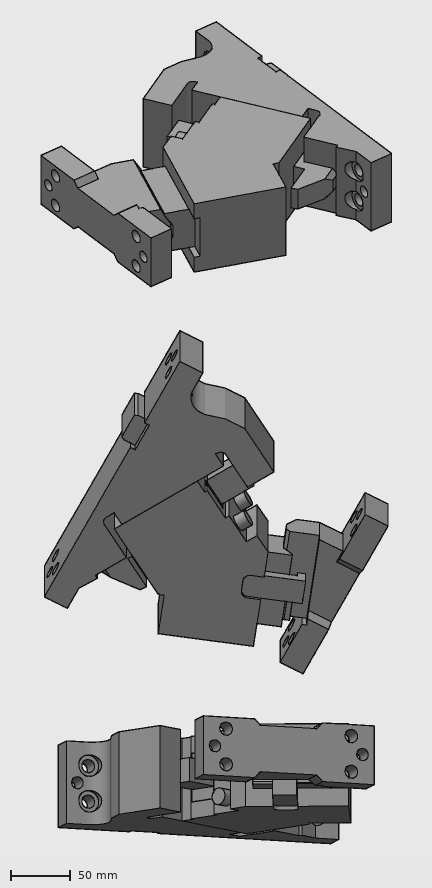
import cadquery as cq
import math


SLIDE_ANGLE = 30
CAM_ANGLE = -20
SLIDE_ORIGIN = (-32.2, 161.5)
CAM_ORIGIN = (-21.8, 62.0)


def frame_point(origin, angle, along, across):
    """XY position of a point given in a frame turned by an angle about Z."""
    c = math.cos(math.radians(angle))
    s = math.sin(math.radians(angle))
    return (origin[0] + along * c - across * s, origin[1] + along * s + across * c)


def slide_pt(along, across):
    return frame_point(SLIDE_ORIGIN, SLIDE_ANGLE, along, across)


def cam_pt(along, across):
    return frame_point(CAM_ORIGIN, CAM_ANGLE, along, across)


def prism(points, z_low, z_high):
    """Closed XY outline extruded between two heights."""
    return cq.Workplane("XY").workplane(offset=z_low).polyline(points).close().extrude(z_high - z_low)


def frame_box(point, along, across, z_range):
    """Box aligned with a turned frame; each range is (low, high)."""
    corners = [
        point(along[0], across[0]),
        point(along[1], across[0]),
        point(along[1], across[1]),
        point(along[0], across[1]),
    ]
    return prism(corners, *z_range)


def y_holes(positions, diameter, y_start, length):
    """Cylinders along +Y from y_start, at (X, Z) positions."""
    plane = cq.Plane(origin=(0, y_start, 0), xDir=(1, 0, 0), normal=(0, -1, 0))
    return cq.Workplane(plane).pushPoints(positions).circle(diameter / 2).extrude(-length)


TOTAL_Y = 234.0
HOLDER_LENGTH = 240.0
HALF_LENGTH = HOLDER_LENGTH / 2
HALF_DEPTH = 35.0
FULL_Z = (-HALF_DEPTH, HALF_DEPTH)
FLANGE_BACK = 225.0
FLANGE_THICKNESS = 21.8
FLANGE_FRONT = FLANGE_BACK - FLANGE_THICKNESS
NECK_RADIUS = 15.0
NECK_X = -87.8
NECK_LOW_Y = 184.0
SHOULDER_X = -92.5
SHOULDER_TOP_Y = 167.5
LEG_OUTER = -58.5
LEG_INNER = -32.6
LEG_END = -27.0
LEFT_SLOT_WALL = -25.7
LEFT_SLOT_END = 12.5
RIGHT_SLOT_LEFT = 74.2
RIGHT_SLOT_WALL = 86.6
RIGHT_SLOT_END = 12.5
SLOT_RADIUS = 5.0
LIP_FACE = -27.0
LIP_STEP_ALONG = 117.0
LIP_STEP_FACE = -30.2
LIP_END_X = 99.5

SCREW_DIAMETER = 11.0
SCREW_Z = 15.0
DOWEL_DIAMETER = 10.0
HOLDER_SCREW_X = 100.0
HOLDER_DOWEL_X = 110.5
COUNTERBORE_DIAMETER = 18.2
COUNTERBORE_DEPTH = 2.5

KEY_LEFT = -57.4
KEY_WIDTH = 25.0
KEY_HALF_Z = 25.0
KEY_SEAT_DEPTH = 4.5
KEY_CHAMFER_X = 1.5
KEY_CHAMFER_Y = 3.0


def holder_body():
    eighth_turn = math.sqrt(0.5)
    slide_slope = math.tan(math.radians(SLIDE_ANGLE))
    leg_face_point = slide_pt(LEG_OUTER, 0)
    leg_corner_y = leg_face_point[1] - (SHOULDER_X - leg_face_point[0]) / slide_slope
    arc_x = NECK_X - NECK_RADIUS
    arc_y = FLANGE_FRONT - NECK_RADIUS
    neck_offset = NECK_RADIUS * eighth_turn
    bulge = SLOT_RADIUS * (1 - eighth_turn)
    outline = (
        cq.Workplane("XY")
        .workplane(offset=-HALF_DEPTH)
        .moveTo(-HALF_LENGTH, FLANGE_BACK)
        .lineTo(-HALF_LENGTH, FLANGE_FRONT)
        .lineTo(arc_x, FLANGE_FRONT)
        .threePointArc((arc_x + neck_offset, arc_y + neck_offset), (NECK_X, arc_y))
        .lineTo(NECK_X, NECK_LOW_Y)
        .lineTo(SHOULDER_X, SHOULDER_TOP_Y)
        .lineTo(SHOULDER_X, leg_corner_y)
        .lineTo(*slide_pt(LEG_OUTER, LEG_END))
        .lineTo(*slide_pt(LEG_INNER, LEG_END))
        .lineTo(*slide_pt(LEG_INNER, LEFT_SLOT_END - SLOT_RADIUS))
        .threePointArc(
            slide_pt(LEG_INNER + bulge, LEFT_SLOT_END - bulge),
            slide_pt(LEG_INNER + SLOT_RADIUS, LEFT_SLOT_END),
        )
        .lineTo(*slide_pt(LEFT_SLOT_WALL, LEFT_SLOT_END))
        .lineTo(*slide_pt(LEFT_SLOT_WALL, 0))
        .lineTo(*slide_pt(RIGHT_SLOT_LEFT, 0))
        .lineTo(*slide_pt(RIGHT_SLOT_LEFT, RIGHT_SLOT_END))
        .lineTo(*slide_pt(RIGHT_SLOT_WALL - SLOT_RADIUS, RIGHT_SLOT_END))
        .threePointArc(
            slide_pt(RIGHT_SLOT_WALL - bulge, RIGHT_SLOT_END - bulge),
            slide_pt(RIGHT_SLOT_WALL, RIGHT_SLOT_END - SLOT_RADIUS),
        )
        .lineTo(*slide_pt(RIGHT_SLOT_WALL, LIP_FACE))
        .lineTo(*slide_pt(LIP_STEP_ALONG, LIP_FACE))
        .lineTo(*slide_pt(LIP_STEP_ALONG, LIP_STEP_FACE))
        .lineTo(LIP_END_X, FLANGE_FRONT)
        .lineTo(HALF_LENGTH, FLANGE_FRONT)
        .lineTo(HALF_LENGTH, FLANGE_BACK)
        .close()
    )
    return outline.extrude(2 * HALF_DEPTH)


def holder_holes():
    screws = [(x, z) for x in (-HOLDER_SCREW_X, HOLDER_SCREW_X) for z in (-SCREW_Z, SCREW_Z)]
    dowels = [(-HOLDER_DOWEL_X, 0), (HOLDER_DOWEL_X, 0)]
    reach = FLANGE_THICKNESS
    start = FLANGE_FRONT - reach
    holes = y_holes(screws, SCREW_DIAMETER, start, 2 * reach)
    holes = holes.union(y_holes(dowels, DOWEL_DIAMETER, start, 2 * reach))
    return holes.union(y_holes(screws, COUNTERBORE_DIAMETER, start, reach + COUNTERBORE_DEPTH))


def key():
    right = KEY_LEFT + KEY_WIDTH
    seat = FLANGE_BACK - KEY_SEAT_DEPTH
    points = [
        (KEY_LEFT, seat),
        (right, seat),
        (right, TOTAL_Y - KEY_CHAMFER_Y),
        (right - KEY_CHAMFER_X, TOTAL_Y),
        (KEY_LEFT + KEY_CHAMFER_X, TOTAL_Y),
        (KEY_LEFT, TOTAL_Y - KEY_CHAMFER_Y),
    ]
    return prism(points, -KEY_HALF_Z, KEY_HALF_Z)


def make_holder():
    key_seat = cq.Workplane("XY").box(KEY_WIDTH, KEY_SEAT_DEPTH, 2 * HALF_DEPTH).translate(
        (KEY_LEFT + KEY_WIDTH / 2, FLANGE_BACK - KEY_SEAT_DEPTH / 2, 0)
    )
    return holder_body().cut(holder_holes()).cut(key_seat).union(key())


BASE_CENTER_X = 7.2
BASE_LENGTH = 150.7
BASE_THICKNESS = 21.8
BASE_HALF_Z = 25.0
WAIST_HALF_Z = 19.7
WAIST_WIDTH = 60.0
DRIVER_DOWEL_X = 65.0
DRIVER_SCREW_X = 55.2
POST_LEFT_X = -28.8
HEAD_LENGTH = 75.4
HEAD_DEPTH = 19.2
RIDGE_HEIGHT = 8.6
RIDGE_TOP_HALF_Z = 5.3
POCKET_Z = -9.8
POCKET_LENGTH = 46.0
LEDGE_THICKNESS = 4.8


def cam_ridge(along_start, along_end):
    """Roof-shaped ridge standing on the cam face."""
    angle = math.radians(CAM_ANGLE)
    plane = cq.Plane(
        origin=(*cam_pt(along_start, 0), 0),
        xDir=(-math.sin(angle), math.cos(angle), 0),
        normal=(math.cos(angle), math.sin(angle), 0),
    )
    profile = [
        (0, -WAIST_HALF_Z),
        (RIDGE_HEIGHT, -RIDGE_TOP_HALF_Z),
        (RIDGE_HEIGHT, RIDGE_TOP_HALF_Z),
        (0, WAIST_HALF_Z),
    ]
    return cq.Workplane(plane).polyline(profile).close().extrude(along_end - along_start)


def driver_base():
    half = BASE_LENGTH / 2
    drop = BASE_HALF_Z - WAIST_HALF_Z
    waist = WAIST_WIDTH / 2
    top_edge = [
        (-half, BASE_HALF_Z),
        (-waist, BASE_HALF_Z),
        (-waist + drop, WAIST_HALF_Z),
        (waist - drop, WAIST_HALF_Z),
        (waist, BASE_HALF_Z),
        (half, BASE_HALF_Z),
    ]
    bottom_edge = [(x, -z) for x, z in reversed(top_edge)]
    plane = cq.Plane(origin=(BASE_CENTER_X, 0, 0), xDir=(1, 0, 0), normal=(0, -1, 0))
    base = cq.Workplane(plane).polyline(top_edge + bottom_edge).close().extrude(-BASE_THICKNESS)
    screws = [
        (BASE_CENTER_X + side * DRIVER_SCREW_X, z) for side in (-1, 1) for z in (-SCREW_Z, SCREW_Z)
    ]
    dowels = [(BASE_CENTER_X + side * DRIVER_DOWEL_X, 0) for side in (-1, 1)]
    base = base.cut(y_holes(screws, SCREW_DIAMETER, 0, BASE_THICKNESS))
    return base.cut(y_holes(dowels, DOWEL_DIAMETER, 0, BASE_THICKNESS))


def driver_post():
    post_right_x = BASE_CENTER_X + WAIST_WIDTH / 2 - (BASE_HALF_Z - WAIST_HALF_Z)
    head_bottom = cam_pt(0, -HEAD_DEPTH)
    post_right_y = head_bottom[1] + (post_right_x - head_bottom[0]) * math.tan(math.radians(CAM_ANGLE))
    points = [
        (POST_LEFT_X, 0),
        head_bottom,
        cam_pt(0, 0),
        cam_pt(HEAD_LENGTH, 0),
        cam_pt(HEAD_LENGTH, -HEAD_DEPTH),
        (post_right_x, post_right_y),
        (post_right_x, 0),
    ]
    return prism(points, -WAIST_HALF_Z, WAIST_HALF_Z).union(cam_ridge(0, HEAD_LENGTH))


def hook_pocket():
    z_range = (-WAIST_HALF_Z, POCKET_Z)
    entry = frame_box(cam_pt, (0, POCKET_LENGTH), (-HEAD_DEPTH, RIDGE_HEIGHT), z_range)
    groove = frame_box(cam_pt, (0, HEAD_LENGTH), (-HEAD_DEPTH, -LEDGE_THICKNESS), z_range)
    return entry.union(groove)


def make_driver():
    head_relief = frame_box(cam_pt, (0, HEAD_LENGTH), (-HEAD_DEPTH, 0), (-BASE_HALF_Z, BASE_HALF_Z))
    return driver_base().cut(head_relief).union(driver_post()).cut(hook_pocket())


BLOCK_RIGHT = 81.5
BLOCK_RIGHT_END = -69.0
CAM_STEP_ALONG = 62.0
CAM_STEP_TOP = 103.0
CAM_LEFT = 10.8
CAM_RIGHT = 96.7
CAM_SEAT = 22.5
SIDE_STEP = -2.5
SIDE_STEP_START = -11.8
STRIP_START = -40.5
STRIP_FACE = -6.0
STRIP_END = -68.0
TOE_FACE = -16.3

SHOE_LEFT = 17.0
SHOE_RIGHT = 82.0
CAM_GAP = 1.2
CHANNEL_DEPTH = 5.3

STOP_TOP = -12.0
STOP_WIDTH = 25.0
STOP_HALF_Z = 10.0
STOP_RECESS_DEPTH = 1.2
STOP_RECESS_HALF_Z = 20.6

BOLT_DIAMETER = 14.2
BOLT_HEIGHT = 10.0
BOLT_ACROSS = -54.5
BOLT_Z = 22.5

HOOK_TOP = -11.8
HOOK_UNDERSIDE = -37.0
HOOK_OUTER = 117.0
HOOK_CHAMFER = 4.5
HOOK_TIP_LEFT = 91.5
HOOK_TIP_END = -66.7
HOOK_NOSE_ALONG = 97.5
HOOK_NOSE_ACROSS = -66.2

PLATE_LEFT = 33.8
PLATE_WIDTH = 20.5
PLATE_TOP = 39.5
PLATE_BOTTOM = -12.5
PLATE_RADIUS = 5.8
PLATE_Z = (-31.7, -21.4)
CLAW_TOP = -5.5
CLAW_Z = -15.0


def block_body():
    points = [
        slide_pt(0, 0),
        slide_pt(0, SIDE_STEP_START),
        slide_pt(SIDE_STEP, SIDE_STEP_START),
        slide_pt(SIDE_STEP, STRIP_START),
        slide_pt(STRIP_FACE, STRIP_START),
        slide_pt(STRIP_FACE, STRIP_END),
        slide_pt(TOE_FACE, STRIP_END),
        cam_pt(CAM_LEFT, CAM_SEAT),
        cam_pt(CAM_RIGHT, CAM_SEAT),
        cam_pt(CAM_RIGHT, CAM_STEP_TOP),
        cam_pt(CAM_STEP_ALONG, CAM_STEP_TOP),
        slide_pt(BLOCK_RIGHT, BLOCK_RIGHT_END),
        slide_pt(BLOCK_RIGHT, 0),
    ]
    return prism(points, *FULL_Z)


def cam_shoe():
    """Shoe with a V groove that rides on the driver's ridge."""
    shoe = frame_box(
        cam_pt, (SHOE_LEFT, SHOE_RIGHT), (CAM_GAP, CAM_SEAT + CHANNEL_DEPTH), (-WAIST_HALF_Z, WAIST_HALF_Z)
    )
    return shoe.cut(cam_ridge(0, CAM_RIGHT))


def shoe_channel():
    return frame_box(
        cam_pt, (SHOE_LEFT, CAM_RIGHT), (CAM_SEAT, CAM_SEAT + CHANNEL_DEPTH), (-WAIST_HALF_Z, WAIST_HALF_Z)
    )


def stop_recess():
    return frame_box(
        slide_pt,
        (SIDE_STEP, SIDE_STEP + STOP_RECESS_DEPTH),
        (STOP_TOP - STOP_WIDTH, STOP_TOP),
        (-STOP_RECESS_HALF_Z, STOP_RECESS_HALF_Z),
    )


def stop_block():
    return frame_box(
        slide_pt,
        (LEG_INNER, SIDE_STEP + STOP_RECESS_DEPTH),
        (STOP_TOP - STOP_WIDTH, STOP_TOP),
        (-STOP_HALF_Z, STOP_HALF_Z),
    )


def bolt(z):
    angle = math.radians(SLIDE_ANGLE)
    outward = (-math.cos(angle), -math.sin(angle), 0)
    plane = cq.Plane(origin=(*slide_pt(STRIP_FACE, BOLT_ACROSS), z), xDir=(0, 0, 1), normal=outward)
    return cq.Workplane(plane).circle(BOLT_DIAMETER / 2).extrude(BOLT_HEIGHT)


def return_hook():
    """Hook that reaches round the holder's lip."""
    points = [
        slide_pt(BLOCK_RIGHT, HOOK_TOP),
        slide_pt(RIGHT_SLOT_WALL, HOOK_TOP),
        slide_pt(RIGHT_SLOT_WALL, LIP_FACE),
        slide_pt(HOOK_OUTER, LIP_FACE),
        slide_pt(HOOK_OUTER, HOOK_UNDERSIDE),
        slide_pt(HOOK_NOSE_ALONG, HOOK_NOSE_ACROSS),
        slide_pt(HOOK_TIP_LEFT, HOOK_TIP_END),
        slide_pt(HOOK_TIP_LEFT, HOOK_UNDERSIDE),
        slide_pt(BLOCK_RIGHT, HOOK_UNDERSIDE),
    ]
    hook = prism(points, -STOP_HALF_Z, STOP_HALF_Z)
    return hook.intersect(hook_chamfer_envelope())


def hook_chamfer_envelope():
    """Bar along the hook's outer side with that side's two long edges chamfered."""
    angle = math.radians(SLIDE_ANGLE)
    plane = cq.Plane(
        origin=(*slide_pt(0, HOOK_TIP_END), 0),
        xDir=(math.cos(angle), math.sin(angle), 0),
        normal=(-math.sin(angle), math.cos(angle), 0),
    )
    profile = [
        (BLOCK_RIGHT, -STOP_HALF_Z),
        (HOOK_OUTER - HOOK_CHAMFER, -STOP_HALF_Z),
        (HOOK_OUTER, HOOK_CHAMFER - STOP_HALF_Z),
        (HOOK_OUTER, STOP_HALF_Z - HOOK_CHAMFER),
        (HOOK_OUTER - HOOK_CHAMFER, STOP_HALF_Z),
        (BLOCK_RIGHT, STOP_HALF_Z),
    ]
    return cq.Workplane(plane).polyline(profile).close().extrude(HOOK_TOP - HOOK_TIP_END)


def return_plate(z_low, z_high):
    """Return plate; the two corners buried deepest in the block are rounded."""
    return (
        frame_box(cam_pt, (PLATE_LEFT, PLATE_LEFT + PLATE_WIDTH), (PLATE_BOTTOM, PLATE_TOP), (z_low, z_high))
        .edges("|Z")
        .edges(">Y or >>Y[-2]")
        .fillet(PLATE_RADIUS)
    )


def make_slide_block():
    block = block_body().cut(shoe_channel()).cut(stop_recess())
    block = block.cut(return_plate(-HALF_DEPTH, PLATE_Z[1])).union(return_plate(*PLATE_Z))
    claw = frame_box(
        cam_pt, (PLATE_LEFT, PLATE_LEFT + PLATE_WIDTH), (PLATE_BOTTOM, CLAW_TOP), (PLATE_Z[0], CLAW_Z)
    )
    block = block.union(claw).union(cam_shoe()).union(stop_block()).union(return_hook())
    for z in (-BOLT_Z, BOLT_Z):
        block = block.union(bolt(z))
    return block


holder = make_holder()
driver = make_driver()
slide_block = make_slide_block()

result = cq.Compound.makeCompound(
    [holder.solids().val(), driver.solids().val(), slide_block.solids().val()]
)